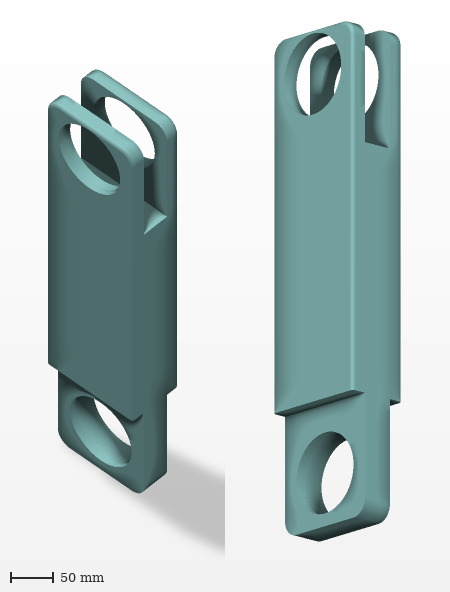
import cadquery as cq

length = 610.0
width = 140.0
thickness = 80.0
corner_radius = 20.0
edge_round = 5.0

tongue_thickness = 40.0
tongue_length = 150.0
slot_width = tongue_thickness
slot_depth = tongue_length

hole_diameter = 100.0
top_hole_inset = 55.0
bottom_hole_inset = 66.0


def block(depth, bottom, top):
    """Box centred on X and Y, between two heights."""
    return cq.Workplane("XY").workplane(offset=bottom).rect(width, depth).extrude(top - bottom)


def make_body():
    """Thick upper body with rounded top corners and rounded outer face edges."""
    body = block(thickness, tongue_length, length)
    body = body.edges("|Y and >Z").fillet(corner_radius)
    return body.faces("<Y or >Y").edges("not <Z").fillet(edge_round)


def make_tongue():
    """Thin lower tongue with rounded bottom corners."""
    tongue = block(tongue_thickness, 0, tongue_length)
    return tongue.edges("|Y and <Z").fillet(corner_radius)


def pin_hole(height):
    """Cylinder through the full thickness at the given height."""
    plane = cq.Workplane("XZ", origin=(0, thickness / 2, height))
    return plane.circle(hole_diameter / 2).extrude(thickness)


fork_slot = block(slot_width, length - slot_depth, length)

result = make_body().union(make_tongue()).cut(fork_slot)
for hole_height in (bottom_hole_inset, length - top_hole_inset):
    result = result.cut(pin_hole(hole_height))